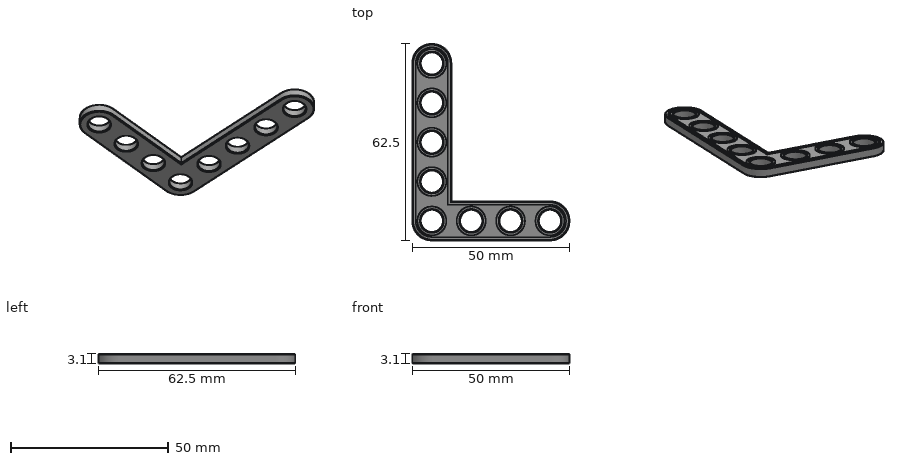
import cadquery as cq

pitch = 12.5
holes_along_x = 4
holes_along_y = 5
thickness = 3.1
hole_diameter = 7.0
ring_diameter = 9.2
rim_width = 1.1
pocket_depth = 0.2
edge_chamfer = 0.3

arm_half_width = pitch / 2
x_reach = (holes_along_x - 1) * pitch
y_reach = (holes_along_y - 1) * pitch
hole_centers = [(i * pitch, 0) for i in range(holes_along_x)]
hole_centers += [(0, j * pitch) for j in range(1, holes_along_y)]


def arm(half_width, length, angle, height):
    """Round-ended bar between two end centers, one at the origin, turned by angle from X."""
    bar = cq.Workplane("XY").center(length / 2, 0).slot2D(length + 2 * half_width, 2 * half_width)
    return bar.extrude(height).rotate((0, 0, 0), (0, 0, 1), angle)


def angle_plate(half_width, height):
    """L-shaped plate with round ends, a round outer corner and a sharp inner corner."""
    x_arm = arm(half_width, x_reach, 0, height)
    y_arm = arm(half_width, y_reach, 90, height)
    return x_arm.union(y_arm).clean()


def cylinders(diameter, height):
    """One cylinder standing at every hole position."""
    return cq.Workplane("XY").pushPoints(hole_centers).circle(diameter / 2).extrude(height)


plate = angle_plate(arm_half_width, thickness)
plate = plate.cut(cylinders(hole_diameter, thickness))
plate = plate.faces("<Z or >Z").edges().chamfer(edge_chamfer)

pocket = angle_plate(arm_half_width - rim_width, pocket_depth)
pocket = pocket.cut(cylinders(ring_diameter, pocket_depth))
result = plate.cut(pocket.translate((0, 0, thickness - pocket_depth)))